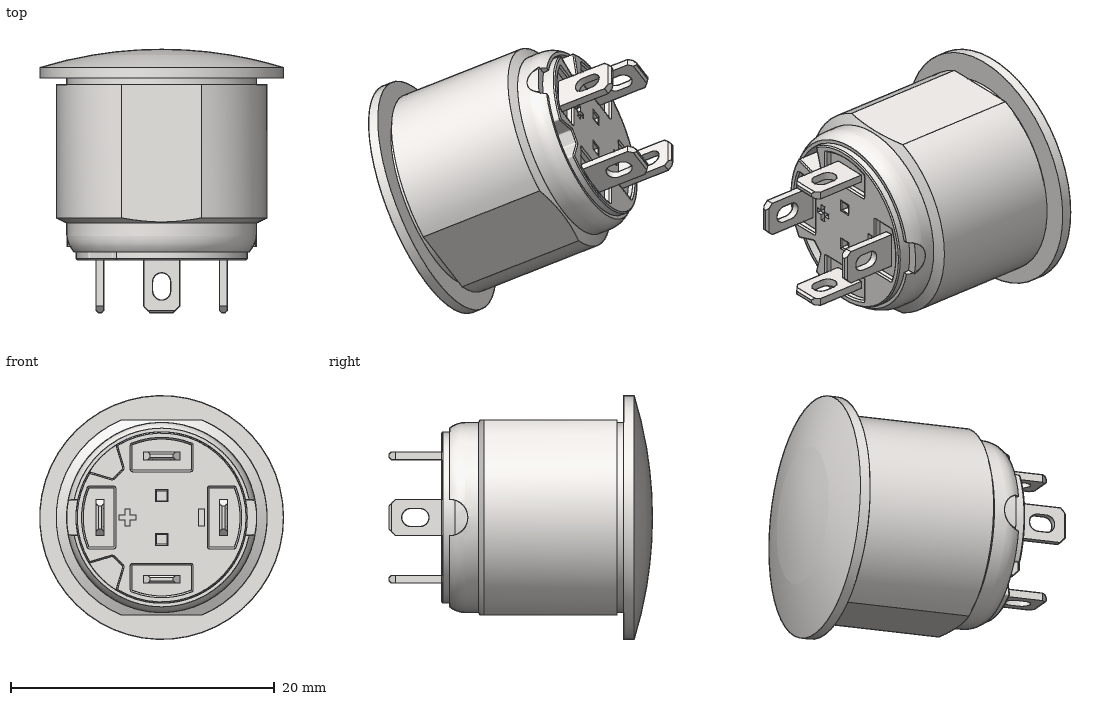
import cadquery as cq
import math


FLANGE_DIA = 18.5
FLANGE_THICKNESS = 0.8
DOME_HEIGHT = 1.39
BUTTON_DIA = 10.5

NECK_DIA = 14.42
NECK_LENGTH = 0.5
BARREL_DIA = 16.0
BARREL_END = 11.0
FLAT_SPACING = 14.8
BARREL_CHAMFER_LENGTH = 0.4

COLLAR_ROUND_START = 12.0
COLLAR_END = 13.2
COLLAR_END_DIA = 13.55

INSERT_DIA = 13.0
INSERT_END = 13.8
INSERT_CHAMFER = 0.1

LATCH_RADIUS = 1.38
LATCH_OUTER_DIA = 14.4
LATCH_FACE = 12.78

TERMINAL_OFFSET = 4.68
TERMINAL_WIDTH = 2.75
TERMINAL_THICKNESS = 0.6
TERMINAL_END = 17.8
TERMINAL_CORNER = 0.5
TERMINAL_TIP_CHAMFER = 0.18
SLOT_LENGTH = 2.05
SLOT_WIDTH = 1.35
SLOT_DEPTH_CENTER = 15.8

POCKET_WIDTH = 4.5
POCKET_INNER = 3.6
POCKET_OUTER_DIA = 11.9
POCKET_DEPTH = 0.5
POCKET_CORNER_RADIUS = 0.05
POCKET_CHAMFER = 0.13

NOTCH_INNER = 4.7
NOTCH_INNER_WIDTH = 1.1
NOTCH_FLANK_ANGLE = 28.5
NOTCH_EDGE_RADIUS = 0.15
NOTCH_DEPTH = 2.0

WINDOW_SIZE = 0.94
WINDOW_INNER = 1.2
WINDOW_BEVEL = 0.07
WINDOW_OUTER_BEVEL = 0.14
WINDOW_DEPTH = 0.6

POLARITY_LENGTH = 1.3
POLARITY_DEPTH = 0.3
PLUS_X = -2.6
PLUS_ARM_WIDTH = 0.38
MINUS_X = 3.03
MINUS_WIDTH = 0.45

QUARTER_TURN = 90
CHAMFER_ANGLE = 45


def plane_at(depth):
    """Workplane at a depth behind the panel face, facing -Y, with local axes X and Z."""
    return cq.Workplane("XZ", origin=(0, -depth, 0))


def turned(body, angle):
    """Body rotated about the switch axis."""
    return body.rotate((0, 0, 0), (0, 1, 0), angle)


def disc(diameter, start, end):
    return plane_at(start).circle(diameter / 2).extrude(end - start)


def make_flange():
    """Flange with a spherical dome; the button is the middle of the same sphere."""
    radius = FLANGE_DIA / 2
    sphere_radius = (radius**2 + DOME_HEIGHT**2) / (2 * DOME_HEIGHT)
    crown = FLANGE_THICKNESS + DOME_HEIGHT

    def dome_point(x):
        return (x, crown - sphere_radius + math.sqrt(sphere_radius**2 - x**2))

    button_radius = BUTTON_DIA / 2
    return (
        cq.Workplane("XY")
        .lineTo(radius, 0)
        .lineTo(radius, FLANGE_THICKNESS)
        .threePointArc(dome_point((radius + button_radius) / 2), dome_point(button_radius))
        .threePointArc(dome_point(button_radius / 2), (0, crown))
        .close()
        .revolve(360, (0, 0), (0, 1), clean=False)
    )


def make_barrel():
    chamfer_width = (BARREL_DIA - NECK_DIA) / 2
    barrel = (
        disc(BARREL_DIA, NECK_LENGTH, BARREL_END)
        .faces("<Y")
        .chamfer(BARREL_CHAMFER_LENGTH, chamfer_width)
    )
    slab = plane_at(NECK_LENGTH).rect(BARREL_DIA, FLAT_SPACING).extrude(BARREL_END - NECK_LENGTH)
    return barrel.intersect(slab).union(disc(NECK_DIA, 0, COLLAR_ROUND_START))


def make_collar():
    return (
        cq.Workplane("XY")
        .moveTo(0, -BARREL_END)
        .lineTo(NECK_DIA / 2, -BARREL_END)
        .lineTo(NECK_DIA / 2, -COLLAR_ROUND_START)
        .tangentArcPoint((COLLAR_END_DIA / 2, -COLLAR_END), relative=False)
        .lineTo(0, -COLLAR_END)
        .close()
        .revolve(360, (0, 0), (0, 1))
    )


def make_latch_rounds():
    """Round bar along X through both latches."""
    return (
        cq.Workplane("YZ")
        .center(-COLLAR_END, 0)
        .circle(LATCH_RADIUS)
        .extrude(LATCH_OUTER_DIA, both=True)
    )


def add_latches(shell):
    """Cut the half-round notches through the collar and seat the latches in them."""
    rounds = make_latch_rounds()
    ring = disc(FLANGE_DIA, BARREL_END, COLLAR_END).cut(disc(INSERT_DIA, BARREL_END, COLLAR_END))
    latches = disc(LATCH_OUTER_DIA, BARREL_END, LATCH_FACE).intersect(rounds)
    return shell.cut(ring.intersect(rounds)).union(latches.intersect(ring))


def make_pocket():
    """Pocket at +Z with an arched outer wall and a chamfered mouth."""
    half_width = POCKET_WIDTH / 2
    outer = POCKET_OUTER_DIA / 2
    shoulder = math.sqrt(outer**2 - half_width**2)
    straight = (
        plane_at(INSERT_END - POCKET_DEPTH)
        .moveTo(-half_width, POCKET_INNER)
        .lineTo(half_width, POCKET_INNER)
        .lineTo(half_width, shoulder)
        .threePointArc((0, outer), (-half_width, shoulder))
        .close()
        .extrude(POCKET_DEPTH - POCKET_CHAMFER)
        .edges("|Y")
        .fillet(POCKET_CORNER_RADIUS)
    )
    return straight.faces("<Y").wires().toPending().extrude(POCKET_CHAMFER, taper=-CHAMFER_ANGLE)


def make_notch():
    """Wedge-like notch at +X that runs out past the rim of the insert."""
    outer = FLANGE_DIA / 2
    corner = NOTCH_INNER_WIDTH / 2
    mouth = corner + (outer - NOTCH_INNER) * math.tan(math.radians(NOTCH_FLANK_ANGLE))
    points = [(NOTCH_INNER, -corner), (outer, -mouth), (outer, mouth), (NOTCH_INNER, corner)]
    return plane_at(INSERT_END - NOTCH_DEPTH).polyline(points).close().extrude(NOTCH_DEPTH)


def make_window():
    """Square window at +Z with a bevelled mouth."""
    opening_width = WINDOW_SIZE - 2 * WINDOW_BEVEL
    opening_height = WINDOW_SIZE - WINDOW_BEVEL - WINDOW_OUTER_BEVEL
    opening_z = WINDOW_INNER + WINDOW_BEVEL + opening_height / 2
    mouth_z = WINDOW_INNER + WINDOW_SIZE / 2
    straight = (
        plane_at(INSERT_END - WINDOW_DEPTH)
        .center(0, opening_z)
        .rect(opening_width, opening_height)
        .extrude(WINDOW_DEPTH)
    )
    bevel = (
        plane_at(INSERT_END - WINDOW_BEVEL)
        .center(0, opening_z)
        .rect(opening_width, opening_height)
        .workplane(offset=WINDOW_BEVEL)
        .center(0, mouth_z - opening_z)
        .rect(WINDOW_SIZE, WINDOW_SIZE)
        .loft(ruled=True)
    )
    return straight.union(bevel)


def make_polarity_marks():
    marks = plane_at(INSERT_END - POLARITY_DEPTH)
    plus_upright = marks.center(PLUS_X, 0).rect(PLUS_ARM_WIDTH, POLARITY_LENGTH).extrude(POLARITY_DEPTH)
    plus_level = marks.center(PLUS_X, 0).rect(POLARITY_LENGTH, PLUS_ARM_WIDTH).extrude(POLARITY_DEPTH)
    minus = marks.center(MINUS_X, 0).rect(MINUS_WIDTH, POLARITY_LENGTH).extrude(POLARITY_DEPTH)
    return plus_upright.union(plus_level).union(minus)


def make_insert():
    notch = make_notch()
    window = make_window()
    pocket = make_pocket()
    notched = disc(INSERT_DIA, INSERT_END - NOTCH_DEPTH, INSERT_END)
    for side in (-1, 1):
        notched = notched.cut(turned(notch, 180 + side * QUARTER_TURN / 2))
    notched = notched.edges("|Y and (not >X)").fillet(NOTCH_EDGE_RADIUS)
    insert = notched.faces("<Y").chamfer(INSERT_CHAMFER)
    for side in (-1, 1):
        insert = insert.cut(turned(window, (1 + side) * QUARTER_TURN))
    for quarter in range(4):
        insert = insert.cut(turned(pocket, quarter * QUARTER_TURN))
    return insert.cut(make_polarity_marks())


def make_terminal():
    """Terminal at +Z: a flat blade with cut corners, a bevelled tip and a wire slot."""
    start = INSERT_END - POCKET_DEPTH
    blade = (
        plane_at(start)
        .center(0, TERMINAL_OFFSET)
        .rect(TERMINAL_WIDTH, TERMINAL_THICKNESS)
        .extrude(TERMINAL_END - start)
        .faces("<Y")
        .edges("|Z")
        .chamfer(TERMINAL_CORNER)
        .faces("<Y")
        .edges("|X")
        .chamfer(TERMINAL_TIP_CHAMFER)
    )
    slot = (
        cq.Workplane("XY", origin=(0, -SLOT_DEPTH_CENTER, TERMINAL_OFFSET))
        .slot2D(SLOT_LENGTH, SLOT_WIDTH, 90)
        .extrude(TERMINAL_THICKNESS, both=True)
    )
    return blade.cut(slot)


def make_switch():
    shell = make_barrel().union(make_collar())
    shell = shell.cut(disc(INSERT_DIA, INSERT_END - NOTCH_DEPTH, COLLAR_END))
    switch = add_latches(shell).union(make_insert())
    terminal = make_terminal()
    for quarter in range(4):
        switch = switch.union(turned(terminal, quarter * QUARTER_TURN))
    return switch.union(make_flange(), clean=False)


result = make_switch()